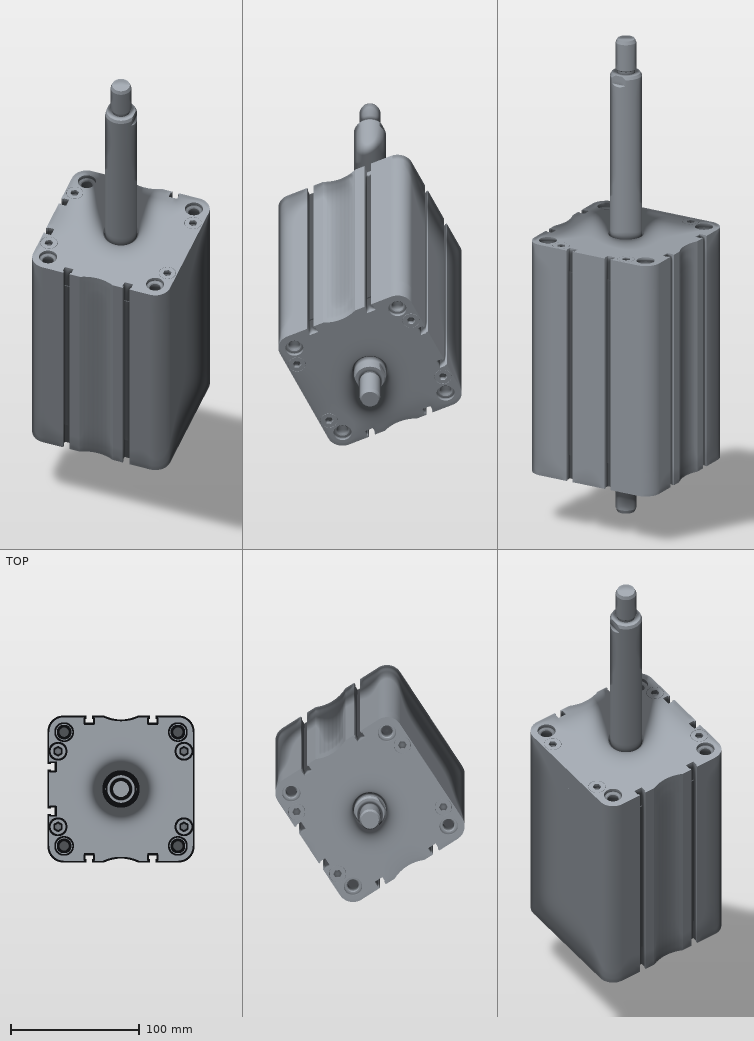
import cadquery as cq
import math

total_height = 393.0
body_width = 113.5
half_width = body_width / 2
corner_radius = 12.0

body_bottom = 39.0
body_top = 230.5
cap_height = 19.5
barrel_bottom = body_bottom + cap_height
barrel_height = body_top - body_bottom - 2 * cap_height

groove_half_width = 13.8
groove_depth = 3.0

slot_mouth_width = 5.5
slot_mouth_depth = 1.5
slot_channel_width = 7.0
barrel_slot_depth = 5.5
cap_slot_depth = 6.3
face_slot_offset = 24.8
side_slot_offset = 17.3

mounting_offset = 44.5
mounting_counterbore_diameter = 14.0
mounting_counterbore_depth = 3.0
mounting_thread_diameter = 10.2
mounting_core_diameter = 8.5
mounting_hole_depth = 15.7

screw_x = 49.0
screw_y = 29.5
screw_recess_diameter = 13.5
screw_head_diameter = 13.0
screw_head_height = 8.0
hex_across_flats = 6.0
hex_depth = 4.0

rod_diameter = 25.0
rod_hole_diameter = 25.5
rod_hole_mouth_diameter = 28.0
tip_length = 28.0
tip_diameter = 16.0
tip_chamfer = 1.0
tip_chamfer_height = 2.8
neck_diameter = 14.0
neck_length = 2.5
shoulder_chamfer = 1.0
shoulder_chamfer_height = 2.5
flat_spacing = 22.0
flat_length = 7.0


def slot_cutter(height, slot_depth):
    """T-shaped slot of the given depth that opens toward +Y at the origin and runs up from Z = 0."""
    mouth = cq.Workplane("XY").rect(slot_mouth_width, 2 * slot_depth).extrude(height)
    channel_depth = slot_depth - slot_mouth_depth
    channel = (
        cq.Workplane("XY")
        .center(0, -slot_mouth_depth - channel_depth / 2)
        .rect(slot_channel_width, channel_depth)
        .extrude(height)
    )
    return mouth.union(channel)


def housing_block(height, slot_depth):
    """Rounded square prism with the concave grooves and the sensor slots along its full height."""
    block = cq.Workplane("XY").rect(body_width, body_width).extrude(height)
    block = block.edges("|Z").fillet(corner_radius)
    groove_radius = (groove_half_width**2 + groove_depth**2) / (2 * groove_depth)
    for side in (-1, 1):
        groove_axis = side * (half_width - groove_depth + groove_radius)
        block = block.cut(cq.Workplane("XY").center(0, groove_axis).circle(groove_radius).extrude(height))
    face_slot = slot_cutter(height, slot_depth).translate((0, half_width, 0))
    for side in (-1, 1):
        back_slot = face_slot.translate((side * face_slot_offset, 0, 0))
        front_slot = back_slot.mirror("XZ")
        side_slot = face_slot.rotate((0, 0, 0), (0, 0, 1), 90).translate((0, side * side_slot_offset, 0))
        block = block.cut(back_slot).cut(front_slot).cut(side_slot)
    return block


def make_barrel():
    """Middle section of the housing, with a bore that fits the rod."""
    bore = cq.Workplane("XY").circle(rod_diameter / 2).extrude(barrel_height)
    return housing_block(barrel_height, barrel_slot_depth).cut(bore).translate((0, 0, barrel_bottom))


def corner_points(x, y):
    """The four points (+-x, +-y)."""
    return [(i * x, j * y) for i in (-1, 1) for j in (-1, 1)]


def make_cap():
    """End cap that stands on Z = 0, with its outer face up."""
    cap = housing_block(cap_height, cap_slot_depth)
    outer_face = cq.Workplane("XY").workplane(offset=cap_height)

    cap = cap.cut(outer_face.circle(rod_hole_diameter / 2).extrude(-cap_height))
    mouth_depth = (rod_hole_mouth_diameter - rod_hole_diameter) / 2
    mouth = outer_face.circle(rod_hole_mouth_diameter / 2).extrude(-mouth_depth, taper=45)
    cap = cap.cut(mouth)

    mounting = outer_face.pushPoints(corner_points(mounting_offset, mounting_offset))
    cap = cap.cut(mounting.circle(mounting_counterbore_diameter / 2).extrude(-mounting_counterbore_depth))
    cap = cap.cut(mounting.circle(mounting_core_diameter / 2).extrude(-mounting_hole_depth))
    thread_start = outer_face.workplane(offset=-mounting_counterbore_depth)
    lead_in = thread_start.pushPoints(corner_points(mounting_offset, mounting_offset))
    lead_in_depth = (mounting_thread_diameter - mounting_core_diameter) / 2
    cap = cap.cut(lead_in.circle(mounting_thread_diameter / 2).extrude(-lead_in_depth, taper=45))

    screws = outer_face.pushPoints(corner_points(screw_x, screw_y))
    recesses = screws.circle(screw_recess_diameter / 2).extrude(-screw_head_height)
    heads = screws.circle(screw_head_diameter / 2).extrude(-screw_head_height)
    cap = cap.cut(recesses.cut(heads))
    hex_across_corners = hex_across_flats / math.cos(math.pi / 6)
    for x, y in corner_points(screw_x, screw_y):
        socket = cq.Workplane("XY").polygon(6, hex_across_corners).extrude(-hex_depth)
        socket = socket.rotate((0, 0, 0), (0, 0, 1), 90)
        cap = cap.cut(socket.translate((x, y, cap_height)))
    return cap


def make_rod():
    """Through rod with a necked tip and two wrench flats at each end."""
    rod_radius = rod_diameter / 2
    tip_radius = tip_diameter / 2
    neck_radius = neck_diameter / 2
    lower_end = [
        (0, 0),
        (tip_radius - tip_chamfer, 0),
        (tip_radius, tip_chamfer_height),
        (tip_radius, tip_length - neck_length - (tip_radius - neck_radius)),
        (neck_radius, tip_length - neck_length),
        (neck_radius, tip_length),
        (rod_radius - shoulder_chamfer, tip_length),
        (rod_radius, tip_length + shoulder_chamfer_height),
    ]
    upper_end = [(r, total_height - z) for r, z in reversed(lower_end)]
    rod = cq.Workplane("XZ").polyline(lower_end + upper_end).close().revolve(360, (0, 0), (0, 1))

    flat_x = flat_spacing / 2
    flat_end = tip_length + flat_length
    run_out = rod_radius - flat_x
    flat_profile = [
        (flat_x, tip_length),
        (rod_radius, tip_length),
        (rod_radius, flat_end + run_out),
        (flat_x, flat_end),
    ]
    flat = cq.Workplane("XZ").polyline(flat_profile).close().extrude(rod_radius, both=True)
    mid_plane = (0, 0, total_height / 2)
    for cutter in (flat, flat.mirror("YZ")):
        rod = rod.cut(cutter).cut(cutter.mirror("XY", mid_plane))
    return rod


barrel = make_barrel()
cap = make_cap()
upper_cap = cap.translate((0, 0, body_top - cap_height))
lower_cap = cap.mirror("XY").translate((0, 0, body_bottom + cap_height))
rod = make_rod()

result = cq.Compound.makeCompound([barrel.val(), upper_cap.val(), lower_cap.val(), rod.val()])